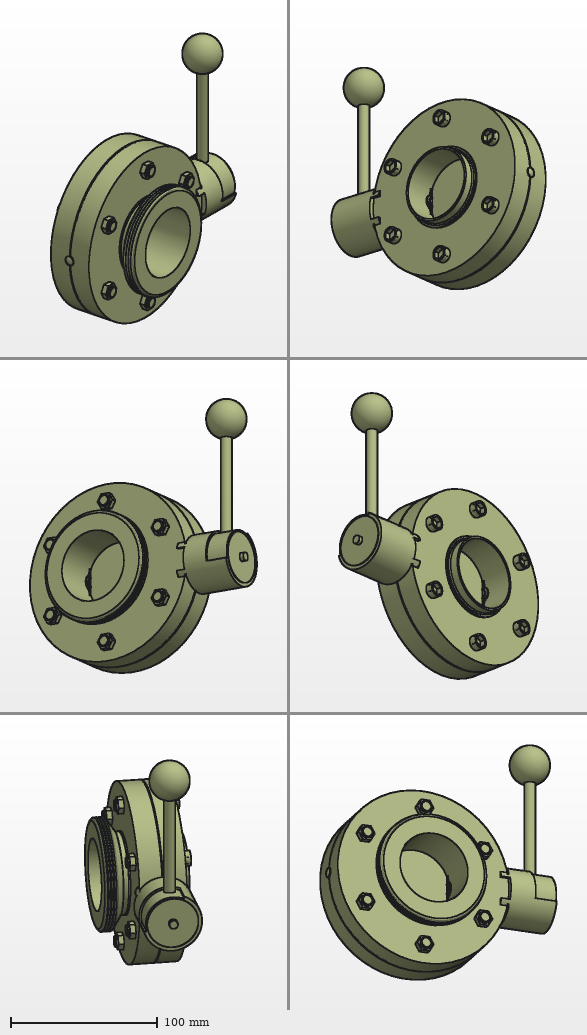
import cadquery as cq
import math

bore_radius = 25.0
flange_radius = 63.0
flange_face_x = 16.5
half_gap = 0.3

collar_radius = 29.0
collar_height = 1.2
collar_end_x = flange_face_x + collar_height

pipe_radius = 26.5
pipe_end_x = 25.0
weld_width = 1.0
weld_radius = pipe_radius + 1.0

neck_end_x = 21.6
neck_radius = 28.7
cone_base_radius = 30.5
cone_end_x = 27.0
thread_radius = 39.4
thread_root_radius = 38.3
thread_pitch = 2.1
thread_count = 4
thread_end_x = 36.0
end_chamfer = 1.2

bolt_count = 6
bolt_circle_radius = 50.0
head_diameter = 10.6
head_height = 5.5
socket_width = 7.8
socket_depth = 4.0
hexagon_sides = 6
nut_width = 10.4
nut_height = 4.0
bolt_diameter = 8.0
bolt_tip_length = 1.8
bolt_tip_chamfer = 0.6

seal_radius = flange_radius - 1.0
disc_half_thickness = 1.4
seal_inset_radius = 30.0
disc_flat_distance = 23.2
flat_half_width = 2.6
flat_half_height = math.sqrt(bore_radius**2 - disc_flat_distance**2)
pad_distance = 24.0
pad_radius = 5.5
stub_radius = 3.4
foot_dome_height = 1.2
foot_end_y = -64.8
stem_radius = 3.0
shaft_end_y = 100.5

hub_radius = 20.5
hub_end_y = 97.0
hub_cap_radius = 17.8
hub_cap_height = 0.5
lug_length = 6.4
lug_inner_z = 8.0
lug_outer_z = 12.4
recess_floor_radius = 19.0
recess_start_y = 81.2
recess_side_x = -8.0
recess_side_z = -5.0
lever_y = 85.0
lever_radius = 4.0
ball_radius = 14.0
ball_center_z = 100.0


def rod_along_x(radius, x_start, x_end):
    return cq.Workplane("YZ").workplane(offset=x_start).circle(radius).extrude(x_end - x_start)


def rod_along_y(radius, y_start, y_end):
    return cq.Workplane("XZ").workplane(offset=-y_start).circle(radius).extrude(y_start - y_end)


def block(x_range, y_range, z_range):
    sizes = [high - low for low, high in (x_range, y_range, z_range)]
    return cq.Workplane("XY").box(*sizes, centered=False).translate(
        (x_range[0], y_range[0], z_range[0])
    )


def revolve_about_x(points):
    return cq.Workplane("XY").polyline(points).close().revolve(360, (0, 0, 0), (1, 0, 0))


def at_bolts(x, local_x_axis, top_angle):
    """Workplane facing +X with a point per bolt; top_angle points from the local X axis to +Z."""
    plane = cq.Plane(origin=(x, 0, 0), xDir=local_x_axis, normal=(1, 0, 0))
    return cq.Workplane(plane).polarArray(bolt_circle_radius, top_angle, 360, bolt_count, rotate=False)


def at_bolts_corners_sideways(x):
    return at_bolts(x, (0, 1, 0), 90)


def at_bolts_corners_up(x):
    return at_bolts(x, (0, 0, 1), 0)


def hexagon_diameter(width):
    return width / math.cos(math.pi / hexagon_sides)


seal_ring_blank = rod_along_x(seal_inset_radius, -disc_half_thickness, disc_half_thickness)
seal_flat_blank = rod_along_x(seal_inset_radius, -flat_half_width, flat_half_width).intersect(
    block(
        (-flat_half_width, flat_half_width),
        (-seal_inset_radius, seal_inset_radius),
        (-flat_half_height, flat_half_height),
    )
)
seal_pad_blank = rod_along_y(pad_radius, -seal_inset_radius, seal_inset_radius)
stub_void = rod_along_y(stub_radius, -flange_radius, flange_radius)
half_void = seal_ring_blank.union(seal_flat_blank).union(seal_pad_blank).union(stub_void)


def make_plain_half():
    body = revolve_about_x(
        [
            (-half_gap, bore_radius),
            (-half_gap, flange_radius),
            (-flange_face_x, flange_radius),
            (-flange_face_x, collar_radius),
            (-collar_end_x, collar_radius),
            (-collar_end_x, weld_radius),
            (-collar_end_x - weld_width, pipe_radius),
            (-pipe_end_x, pipe_radius),
            (-pipe_end_x, bore_radius),
        ]
    )
    head_top_x = -flange_face_x - head_height
    heads = at_bolts_corners_up(head_top_x).circle(head_diameter / 2).extrude(head_height)
    sockets = (
        at_bolts_corners_up(head_top_x)
        .polygon(hexagon_sides, hexagon_diameter(socket_width))
        .extrude(socket_depth)
    )
    return body.union(heads).cut(sockets).cut(half_void)


def thread_outline():
    """Outline points of the ring-shaped thread crests, from the cone to the end."""
    points = []
    for k in range(thread_count):
        start_x = cone_end_x + k * thread_pitch
        points.append((start_x, thread_root_radius))
        points.append((start_x + thread_pitch / 2, thread_radius))
    points.append((cone_end_x + thread_count * thread_pitch, thread_root_radius))
    return points


def make_threaded_half():
    body = revolve_about_x(
        [
            (half_gap, bore_radius),
            (half_gap, flange_radius),
            (flange_face_x, flange_radius),
            (flange_face_x, collar_radius),
            (collar_end_x, collar_radius),
            (collar_end_x, neck_radius),
            (neck_end_x, neck_radius),
            (neck_end_x, cone_base_radius),
            *thread_outline(),
            (thread_end_x, thread_root_radius - end_chamfer),
            (thread_end_x, bore_radius),
        ]
    )
    nuts = (
        at_bolts_corners_sideways(flange_face_x)
        .polygon(hexagon_sides, hexagon_diameter(nut_width))
        .extrude(nut_height)
    )
    tips = (
        at_bolts_corners_sideways(flange_face_x + nut_height)
        .circle(bolt_diameter / 2)
        .extrude(bolt_tip_length)
        .faces(">X")
        .chamfer(bolt_tip_chamfer)
    )
    return body.union(nuts).union(tips).cut(half_void)


def make_plate():
    width = (-disc_half_thickness, disc_half_thickness)
    between_pads = block(width, (-disc_flat_distance, disc_flat_distance), (-bore_radius, bore_radius))
    return rod_along_x(bore_radius, *width).intersect(between_pads)


def make_disc():
    foot = (
        cq.Workplane("XY")
        .moveTo(0, -disc_flat_distance)
        .lineTo(stub_radius, -disc_flat_distance)
        .lineTo(stub_radius, foot_end_y + foot_dome_height)
        .threePointArc(dome_middle(), (0, foot_end_y))
        .close()
        .revolve(360, (0, 0, 0), (0, 1, 0))
    )
    stub = rod_along_y(stub_radius, disc_flat_distance, flange_radius)
    stem = rod_along_y(stem_radius, flange_radius, shaft_end_y)
    return make_plate().union(foot).union(stub).union(stem)


def dome_middle():
    """Point of the foot's spherical end halfway between its rim and its tip."""
    sphere_radius = (stub_radius**2 + foot_dome_height**2) / (2 * foot_dome_height)
    angle = math.asin(stub_radius / sphere_radius) / 2
    return (
        sphere_radius * math.sin(angle),
        foot_end_y + sphere_radius * (1 - math.cos(angle)),
    )


def seal_opening(end_distance):
    """Bore shortened in Y to leave the seal standing proud at both shaft ends."""
    between_ends = block(
        (-pad_radius, pad_radius),
        (-end_distance, end_distance),
        (-bore_radius, bore_radius),
    )
    return rod_along_x(bore_radius, -pad_radius, pad_radius).intersect(between_ends)


def make_seal():
    ring = seal_ring_blank.union(seal_flat_blank).cut(seal_opening(disc_flat_distance))
    pads = seal_pad_blank.cut(seal_opening(pad_distance))
    rim = rod_along_x(seal_radius, -half_gap, half_gap)
    rim = rim.cut(rod_along_x(seal_inset_radius, -half_gap, half_gap))
    return ring.union(pads).union(rim).cut(stub_void)


def make_hub():
    hub = rod_along_y(hub_radius, flange_radius - lug_length, hub_end_y)
    hub = hub.union(rod_along_y(hub_cap_radius, hub_end_y, hub_end_y + hub_cap_height))
    lug_span = (flange_radius - lug_length, flange_radius)
    full = (-hub_radius, hub_radius)
    inside = (-flange_face_x, flange_face_x)
    hub = hub.cut(block(inside, lug_span, full))
    hub = hub.cut(block(full, lug_span, (-lug_inner_z, lug_inner_z)))
    hub = hub.cut(block(full, lug_span, (lug_outer_z, hub_radius)))
    hub = hub.cut(block(full, lug_span, (-hub_radius, -lug_outer_z)))
    recess = block(
        (recess_side_x, hub_radius), (recess_start_y, hub_end_y), (recess_side_z, hub_radius)
    ).cut(rod_along_y(recess_floor_radius, recess_start_y, hub_end_y))
    return hub.cut(recess).cut(rod_along_y(stem_radius, 0, shaft_end_y))


def make_handle():
    lever_start_z = recess_floor_radius - lever_radius
    lever = (
        cq.Workplane("XY", origin=(0, lever_y, lever_start_z))
        .circle(lever_radius)
        .extrude(ball_center_z - lever_start_z)
    )
    ball = cq.Workplane("XY").sphere(ball_radius).translate((0, lever_y, ball_center_z))
    return make_hub().union(lever).union(ball)


plain_half = make_plain_half()
threaded_half = make_threaded_half()
disc = make_disc()
seal = make_seal()
handle = make_handle()

result = cq.Compound.makeCompound(
    [plain_half.val(), threaded_half.val(), seal.val(), disc.val(), handle.val()]
)